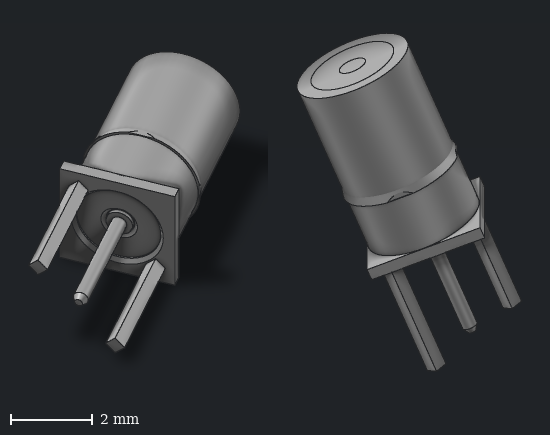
import cadquery as cq


overall_length = 7.9
plate_side = 3.0
plate_thickness = 0.3
barrel_radius = 1.48
housing_length = 4.9
leg_length = overall_length - housing_length
leg_side = 0.355
leg_turn = 45.0
leg_offset = 1.0

barb_front = 1.785
barb_length = 0.21
barb_radius = 1.54

chamfer = 0.1
bore_radius = 1.1
recess = 0.15

contact_radius = 0.35
hollow_gap = 0.02
tail_radius = 0.2
tail_length = 2.86
tip_radius = 0.1
tip_length = 0.165


def cylinder(radius, y_start, y_end):
    """Cylinder on the connector axis between two positions along Y."""
    start = cq.Workplane("XZ", origin=(0, y_start, 0))
    return start.circle(radius).extrude(y_start - y_end)


def cone(radius_start, y_start, radius_end, y_end):
    """Truncated cone on the connector axis between two positions along Y."""
    outline = [(0, y_start), (radius_start, y_start), (radius_end, y_end), (0, y_end)]
    return cq.Workplane("XY").polyline(outline).close().revolve(360, (0, 0, 0), (0, 1, 0))


def make_leg(side):
    """Square leg, turned about its own axis, at the upper left (side = -1) or lower right (side = 1)."""
    base = cq.Workplane("XZ").center(side * leg_offset, -side * leg_offset)
    return base.transformed(rotate=(0, 0, leg_turn)).rect(leg_side, leg_side).extrude(leg_length)


def make_barb():
    barb = cone(barb_radius, barb_front, barrel_radius, barb_front + barb_length)
    envelope = cq.Workplane("XZ").rect(plate_side, plate_side).extrude(-housing_length)
    return barb.intersect(envelope)


def make_housing():
    plate = cq.Workplane("XZ").rect(plate_side, plate_side).extrude(-plate_thickness)
    barrel = cylinder(barrel_radius, 0, housing_length)
    housing = plate.union(barrel).union(make_barb())
    for side in (-1, 1):
        housing = housing.union(make_leg(side))
    bore = cylinder(bore_radius, 0, housing_length)
    lead_in = cone(bore_radius + chamfer, 0, bore_radius, chamfer)
    return housing.cut(bore).cut(lead_in)


def make_insulator():
    """Sleeve that fills the housing bore and holds the contact, with a conical hollow around it."""
    floor_radius = contact_radius + hollow_gap
    sleeve = cylinder(bore_radius, recess, housing_length)
    bore = cylinder(contact_radius, recess, housing_length)
    hollow = cone(floor_radius + chamfer, recess, floor_radius, recess + chamfer)
    return sleeve.cut(bore).cut(hollow)


def make_pin():
    tip_start = tip_length - tail_length
    contact = cylinder(contact_radius, recess, housing_length)
    tail = cylinder(tail_radius, tip_start, recess)
    tip = cone(tip_radius, -tail_length, tail_radius, tip_start)
    return contact.union(tail).union(tip)


housing = make_housing()
insulator = make_insulator()
pin = make_pin()

result = cq.Compound.makeCompound([housing.val(), insulator.val(), pin.val()])